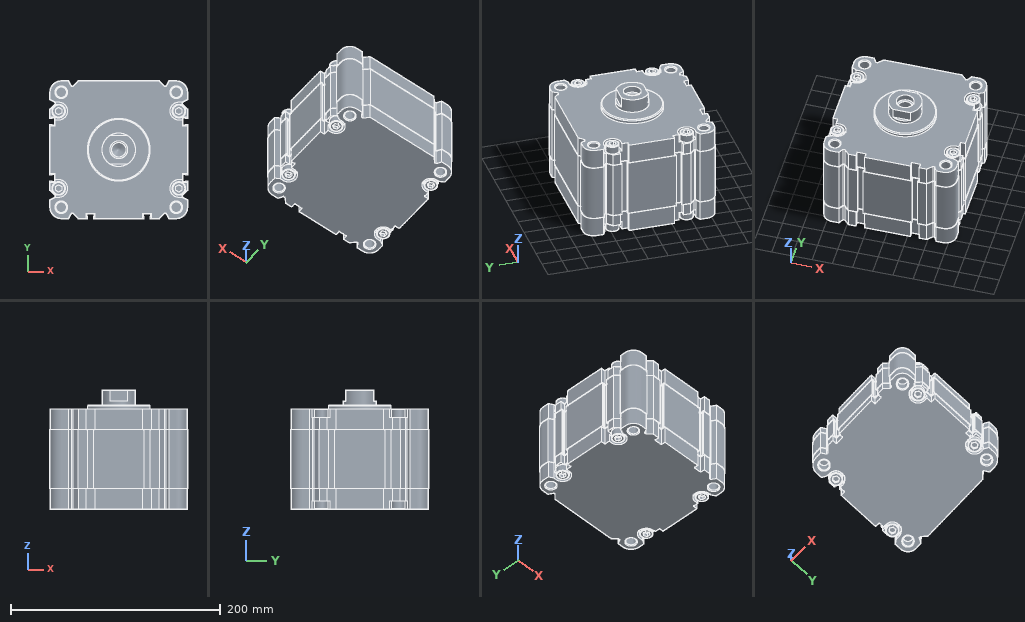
import cadquery as cq
import math

housing_height = 96.0
cap_height = 19.7
collar_height = 4.0
total_height = 114.0
barrel_height = housing_height - 2 * cap_height
collar_top = housing_height + collar_height

barrel_width = 132.0
half_width = barrel_width / 2
corner_center = 55.0
corner_radius = half_width - corner_center
cap_inset = 0.4

notch_depth = 5.0
notch_inner = 43.8
notch_outer = 45.1
notch_inner_angle = 45.0
notch_outer_angle = 60.0
notch_start = notch_inner - notch_depth / math.tan(math.radians(notch_inner_angle))
notch_end = notch_outer + notch_depth / math.tan(math.radians(notch_outer_angle))

slot_offset = 27.0
slot_mouth_width = 5.6
slot_inner_width = 6.8
slot_lip = 2.0
slot_depth = 4.5
cap_slot_width = 8.7
cap_slot_depth = 5.2
slotted_side_angles = (0, 90, -90)

screw_x = 57.5
screw_y = 37.0
screw_head_diameter = 13.0
screw_head_height = 8.0
screw_head_top_diameter = 11.45
screw_head_chamfer_height = 0.5
screw_head_chamfer_width = (screw_head_diameter - screw_head_top_diameter) / 2
screw_seat_width = 17.0
screw_seat_depth = 8.2
socket_across_flats = 6.0
socket_depth = 4.0

mount_hole_diameter = 10.11
mount_hole_mouth_diameter = 12.0
mount_hole_depth = 18.0
mount_hole_chamfer = (mount_hole_mouth_diameter - mount_hole_diameter) / 2

collar_diameter = 60.0
collar_chamfer = 1.0

rod_diameter = 32.0
rod_bottom = housing_height - cap_height
rod_across_flats = 27.0
rod_flat_height = 10.4
rod_recess_diameter = 17.0
rod_recess_depth = 6.5
rod_drill_diameter = 13.84
rod_drill_depth = 26.0
rod_drill_tip_angle = 118.0
rod_countersink_angle = 120.0


def outline():
    """Barrel outline: a rounded square with two V notches in each side."""
    notch_floor = half_width - notch_depth
    arc_reach = corner_center + corner_radius * math.sqrt(0.5)
    side = [
        (-notch_end, half_width),
        (-notch_outer, notch_floor),
        (-notch_inner, notch_floor),
        (-notch_start, half_width),
        (notch_start, half_width),
        (notch_inner, notch_floor),
        (notch_outer, notch_floor),
        (notch_end, half_width),
        (corner_center, half_width),
    ]
    arc_middle = (arc_reach, arc_reach)
    arc_end = (half_width, corner_center)

    def turned(point, quarter_turns):
        x, y = point
        for _ in range(quarter_turns):
            x, y = y, -x
        return x, y

    sketch = cq.Workplane("XY").moveTo(-corner_center, half_width)
    for quarter_turns in range(4):
        for point in side:
            sketch = sketch.lineTo(*turned(point, quarter_turns))
        sketch = sketch.threePointArc(turned(arc_middle, quarter_turns), turned(arc_end, quarter_turns))
    return sketch.close()


def on_slotted_sides(cutter):
    """Copies of a cutter made for the -Y side, one per slot."""
    copies = cq.Workplane("XY")
    for angle in slotted_side_angles:
        for offset in (-slot_offset, slot_offset):
            copies = copies.add(cutter.translate((offset, 0, 0)).rotate((0, 0, 0), (0, 0, 1), angle))
    return copies.combine()


def side_channel(width, near, far):
    """Full-height box cut into the -Y side between two depths from the barrel face."""
    return (
        cq.Workplane("XY")
        .box(width, far - near, housing_height, centered=(True, False, False))
        .translate((0, near - half_width, 0))
    )


def make_barrel():
    barrel = outline().extrude(barrel_height).translate((0, 0, cap_height))
    mouth = side_channel(slot_mouth_width, 0, slot_depth)
    undercut = side_channel(slot_inner_width, slot_lip, slot_depth)
    return barrel.cut(on_slotted_sides(mouth.union(undercut)))


def tie_screw_head():
    """Socket head resting on the floor of its seat."""
    seat_floor = housing_height - screw_seat_depth
    socket_corner_diameter = socket_across_flats / math.cos(math.pi / 6)
    return (
        cq.Workplane("XY")
        .workplane(offset=seat_floor)
        .circle(screw_head_diameter / 2)
        .extrude(screw_head_height)
        .faces(">Z")
        .chamfer(screw_head_chamfer_height, screw_head_chamfer_width)
        .faces(">Z")
        .workplane()
        .transformed(rotate=(0, 0, 90))
        .polygon(6, socket_corner_diameter)
        .cutBlind(-socket_depth)
    )


def screw_seat():
    """U-shaped recess that opens towards +X."""
    seat_floor = housing_height - screw_seat_depth
    opening = cq.Workplane("XY").box(
        half_width - screw_x, screw_seat_width, screw_seat_depth, centered=(False, True, False)
    )
    round_end = cq.Workplane("XY").circle(screw_seat_width / 2).extrude(screw_seat_depth)
    return opening.union(round_end).translate((0, 0, seat_floor))


def mount_hole():
    """Blind hole with a chamfered mouth."""
    hole = cq.Workplane("XY").circle(mount_hole_diameter / 2).extrude(-mount_hole_depth)
    mouth = cq.Solid.makeCone(
        mount_hole_diameter / 2,
        mount_hole_mouth_diameter / 2,
        mount_hole_chamfer,
        pnt=(0, 0, -mount_hole_chamfer),
    )
    return hole.union(cq.Workplane(obj=mouth)).translate((0, 0, housing_height))


def make_top_cap():
    cap = (
        outline()
        .offset2D(-cap_inset, "intersection")
        .extrude(cap_height)
        .translate((0, 0, housing_height - cap_height))
    )
    cap = cap.cut(on_slotted_sides(side_channel(cap_slot_width, 0, cap_slot_depth)))
    for side_x in (-1, 1):
        for side_y in (-1, 1):
            seat = screw_seat()
            if side_x < 0:
                seat = seat.mirror("YZ")
            screw_place = (side_x * screw_x, side_y * screw_y, 0)
            cap = cap.cut(seat.translate(screw_place))
            cap = cap.union(tie_screw_head().translate(screw_place))
            cap = cap.cut(mount_hole().translate((side_x * corner_center, side_y * corner_center, 0)))
    return cap


def make_collar():
    return (
        cq.Workplane("XY")
        .workplane(offset=housing_height)
        .circle(collar_diameter / 2)
        .extrude(collar_height)
        .faces(">Z")
        .chamfer(collar_chamfer)
    )


def make_housing():
    """Barrel, both caps, tie screws and collar, bored for the rod through the top cap."""
    top_cap = make_top_cap()
    bottom_cap = top_cap.mirror("XY", (0, 0, housing_height / 2))
    rod_bore = (
        cq.Workplane("XY")
        .workplane(offset=rod_bottom)
        .circle(rod_diameter / 2)
        .extrude(collar_top - rod_bottom)
    )
    return make_barrel().union(top_cap).union(bottom_cap).union(make_collar()).cut(rod_bore)


def rod_hole():
    """Recess, countersink, drill hole and conical tip, revolved about Z."""
    recess_floor = total_height - rod_recess_depth
    drill_end = recess_floor - rod_drill_depth
    recess_radius = rod_recess_diameter / 2
    drill_radius = rod_drill_diameter / 2
    countersink_depth = (recess_radius - drill_radius) / math.tan(math.radians(rod_countersink_angle / 2))
    tip_length = drill_radius / math.tan(math.radians(rod_drill_tip_angle / 2))
    return (
        cq.Workplane("XZ")
        .moveTo(0, total_height)
        .lineTo(recess_radius, total_height)
        .lineTo(recess_radius, recess_floor)
        .lineTo(drill_radius, recess_floor - countersink_depth)
        .lineTo(drill_radius, drill_end)
        .lineTo(0, drill_end - tip_length)
        .close()
        .revolve()
    )


def make_rod():
    rod_radius = rod_diameter / 2
    rod = (
        cq.Workplane("XY")
        .workplane(offset=rod_bottom)
        .circle(rod_radius)
        .extrude(total_height - rod_bottom)
    )
    for side in (-1, 1):
        flat_depth = rod_radius - rod_across_flats / 2
        flat_middle = side * (rod_radius - flat_depth / 2)
        flat_cutter = (
            cq.Workplane("XY")
            .box(rod_diameter, flat_depth, rod_flat_height, centered=(True, True, False))
            .translate((0, flat_middle, total_height - rod_flat_height))
        )
        rod = rod.cut(flat_cutter)
    return rod.cut(rod_hole())


housing = make_housing()
rod = make_rod()
result = cq.Compound.makeCompound([housing.val(), rod.val()])